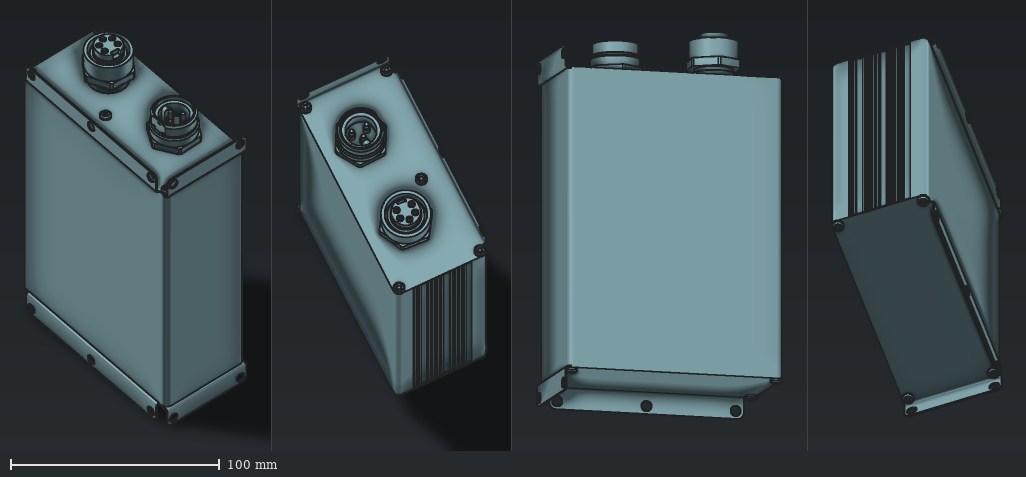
import cadquery as cq
import math

WIDTH = 107.5
DEPTH = 49.3
EXTRUSION_LENGTH = 145.2
CORNER_RADIUS = 3.2
SHEET = 0.8
EXTRUSION_END = EXTRUSION_LENGTH / 2
PLATE_FACE = EXTRUSION_END + SHEET

FIN_PITCH = 2.4
FINS_PER_GROUP = 5
GROUP_COUNT = 3
GROUP_PITCH = FINS_PER_GROUP * FIN_PITCH
GROOVE_DEPTH = 1.0
GROOVE_MOUTH = 1.8
GROOVE_FLOOR = 0.7
ROUND_GROOVE_OFFSET = -FIN_PITCH
ROUND_GROOVE_WIDTH = 3.0
ROUND_GROOVE_RADIUS = 0.95
GROOVED_HALF_WIDTH = 16.0

FLANGE_HEIGHT = 11.6
BEND_RADIUS = 1.0
FRONT_FLANGE_LENGTH = 97.0
FRONT_FLANGE_REACH = 1.8
SIDE_FLANGE_REACH = 1.25
FLANGE_CORNER_RADIUS = 3.0
FLANGE_HOLE_DIAMETER = 5.0
FLANGE_HOLE_EDGE = 3.9
FRONT_HOLE_PITCH = 44.5
SIDE_HOLE_PITCH = 41.7
FLANGE_TOP = EXTRUSION_END + FLANGE_HEIGHT

SCREW_X = 51.0
SCREW_Y = 21.6
EARTH_SCREW = (-6.0, -12.3)
SCREW_HEAD_DIAMETER = 5.6
SCREW_HEAD_HEIGHT = 1.9
SCREW_HEAD_RIM = 0.9
SCREW_HEAD_TOP_DIAMETER = 4.0
SCREW_SOCKET_FLATS = 2.0
SCREW_SOCKET_DEPTH = 1.0

CONNECTOR_X = 24.5
CONNECTOR_Y = 5.0
HEX_FLATS = 24.0
HEX_CORNER_DIAMETER = 27.0
OVERLAP = 0.5

FEMALE_TILT = -3.4
FEMALE_NECK_DIAMETER = 20.4
FEMALE_NECK_TOP = 4.0
FEMALE_UNDERCUT_DIAMETER = 19.0
FEMALE_HEX_BOTTOM = 5.9
FEMALE_HEX_TOP = 10.1
SLEEVE_DIAMETER = 24.0
SLEEVE_BORE_DIAMETER = 20.4
SLEEVE_TOP = 19.5
SLEEVE_BORE_BOTTOM = 13.0
CORE_DIAMETER = 14.3
CORE_COLLAR_DIAMETER = 15.17
CORE_COLLAR_TOP = 19.2
CORE_STEP_DIAMETER = 17.8
CORE_STEP_TOP = 17.6
CORE_TOP = 23.1
SOCKET_COUNT = 5
SOCKET_CIRCLE_RADIUS = 4.5
SOCKET_SPACING = 60.0
SOCKET_ENTRY_DIAMETER = 3.3
SOCKET_DIAMETER = 2.0
SOCKET_DEPTH = 8.0
KEYWAY_WIDTH = 4.4
KEYWAY_DEPTH = 3.0
KEYWAY_ROOT = 4.8

MALE_TILT = 2.0
NUT_TOP = 3.7
MALE_BODY_DIAMETER = 24.0
MALE_BODY_TOP = 8.8
MALE_BODY_CHAMFER = 0.8
MALE_UNDERCUT_DIAMETER = 20.4
MALE_UNDERCUT_TOP = 10.0
MALE_THREAD_DIAMETER = 22.5
MALE_RIM_DIAMETER = 20.4
MALE_TOP = 16.4
MALE_FLAT_DISTANCE = 9.9
MALE_BORE_DIAMETER = 15.17
MALE_BORE_BOTTOM = 5.0
MALE_MOUTH_DIAMETER = 19.0
MALE_MOUTH_DEPTH = 2.5
PIN_POSITIONS = [(-2.8, 0.0), (2.0, 4.0), (2.0, -4.0)]
PIN_DIAMETER = 3.4
PIN_SHOULDER_TOP = 9.0
PIN_TIP_DIAMETER = 2.0
PIN_TOP = 13.5
KEY_WIDTH = 3.6
KEY_REACH = 2.7
KEY_ROUNDING = 1.7
KEY_TOP = 13.5


def cylinder(diameter, bottom, top, x=0.0, y=0.0):
    """Upright cylinder between two heights."""
    return cq.Workplane("XY", origin=(x, y, bottom)).circle(diameter / 2).extrude(top - bottom)


def hexagon(bottom, top):
    """Hexagon with corners on the Y axis and turned-down corners."""
    corner_distance = HEX_FLATS / math.cos(math.pi / 6)
    blank = cq.Workplane("XY", origin=(0, 0, bottom)).polygon(6, corner_distance).extrude(top - bottom)
    blank = blank.rotate((0, 0, 0), (0, 0, 1), 90)
    return blank.intersect(cylinder(HEX_CORNER_DIAMETER, bottom, top))


def housing():
    """Extrusion and both end plates, flush all round."""
    height = 2 * PLATE_FACE
    return cq.Workplane("XY").box(WIDTH, DEPTH, height).edges("|Z").fillet(CORNER_RADIUS)


def tapered_groove(y):
    """Narrow groove with sloping walls on the -X side."""
    face = -WIDTH / 2
    profile = (
        cq.Workplane("XY", origin=(0, 0, -EXTRUSION_END))
        .moveTo(face, y - GROOVE_MOUTH / 2)
        .lineTo(face + GROOVE_DEPTH, y - GROOVE_FLOOR / 2)
        .lineTo(face + GROOVE_DEPTH, y + GROOVE_FLOOR / 2)
        .lineTo(face, y + GROOVE_MOUTH / 2)
        .close()
    )
    return profile.extrude(EXTRUSION_LENGTH)


def round_groove(y):
    """Wider groove with rounded floor corners on the -X side."""
    groove = cq.Workplane("XY").box(2 * GROOVE_DEPTH, ROUND_GROOVE_WIDTH, EXTRUSION_LENGTH)
    groove = groove.edges("|Z and >X").fillet(ROUND_GROOVE_RADIUS)
    return groove.translate((-WIDTH / 2, y, 0))


def side_grooves():
    """Material removed from the -X side: groups of tapered grooves, each with one rounded groove."""
    cuts = cq.Workplane("XY")
    for group in range(GROUP_COUNT):
        centre = (group - (GROUP_COUNT - 1) / 2) * GROUP_PITCH
        cuts = cuts.union(round_groove(centre + ROUND_GROOVE_OFFSET))
        for fin in range(FINS_PER_GROUP):
            offset = (fin - (FINS_PER_GROUP - 1) / 2) * FIN_PITCH
            is_inside = abs(centre + offset) < GROOVED_HALF_WIDTH
            if is_inside and not math.isclose(offset, ROUND_GROOVE_OFFSET):
                cuts = cuts.union(tapered_groove(centre + offset))
    return cuts


def flange(length, reach, hole_offsets):
    """Upper flange along X, bent up from the end plate; the housing face is at Y = 0, outward is +Y."""
    outer_radius = BEND_RADIUS + SHEET
    profile = (
        cq.Workplane("YZ")
        .moveTo(-outer_radius, EXTRUSION_END)
        .lineTo(reach - outer_radius, EXTRUSION_END)
        .radiusArc((reach, EXTRUSION_END + outer_radius), -outer_radius)
        .lineTo(reach, FLANGE_TOP)
        .lineTo(reach - SHEET, FLANGE_TOP)
        .lineTo(reach - SHEET, PLATE_FACE + BEND_RADIUS)
        .radiusArc((reach - outer_radius, PLATE_FACE), BEND_RADIUS)
        .lineTo(-outer_radius, PLATE_FACE)
        .close()
    )
    sheet = profile.extrude(length / 2, both=True)
    sheet = sheet.edges("|Y and >Z").fillet(FLANGE_CORNER_RADIUS)
    holes = (
        cq.Workplane("XZ")
        .pushPoints([(x, FLANGE_TOP - FLANGE_HOLE_EDGE) for x in hole_offsets])
        .circle(FLANGE_HOLE_DIAMETER / 2)
        .extrude(2 * (reach + outer_radius), both=True)
    )
    return sheet.cut(holes)


def flanges():
    """Front and side flanges at the top, repeated mirrored at the bottom."""
    front = flange(FRONT_FLANGE_LENGTH, FRONT_FLANGE_REACH, [-FRONT_HOLE_PITCH, 0, FRONT_HOLE_PITCH])
    front = front.rotate((0, 0, 0), (0, 0, 1), 180).translate((0, -DEPTH / 2, 0))
    side = flange(DEPTH, SIDE_FLANGE_REACH, [-SIDE_HOLE_PITCH / 2, SIDE_HOLE_PITCH / 2])
    side = side.rotate((0, 0, 0), (0, 0, 1), -90).translate((WIDTH / 2, 0, 0))
    upper = front.union(side)
    return upper.union(upper.mirror("XY"))


def screw_head():
    """Button head with a hexagon socket, seated at Z = 0."""
    head = (
        cq.Workplane("XZ")
        .moveTo(0, -OVERLAP)
        .lineTo(SCREW_HEAD_DIAMETER / 2, -OVERLAP)
        .lineTo(SCREW_HEAD_DIAMETER / 2, SCREW_HEAD_RIM)
        .radiusArc((SCREW_HEAD_TOP_DIAMETER / 2, SCREW_HEAD_HEIGHT), -SCREW_HEAD_DIAMETER / 2)
        .lineTo(0, SCREW_HEAD_HEIGHT)
        .close()
        .revolve(360, (0, 0, 0), (0, 1, 0))
    )
    socket_corners = SCREW_SOCKET_FLATS / math.cos(math.pi / 6)
    return head.faces(">Z").workplane().polygon(6, socket_corners).cutBlind(-SCREW_SOCKET_DEPTH)


def screws():
    """Corner screws on both end plates and the earth screw on the upper one."""
    head = screw_head().translate((0, 0, PLATE_FACE))
    heads = head.translate((*EARTH_SCREW, 0))
    for x in (-SCREW_X, SCREW_X):
        for y in (-SCREW_Y, SCREW_Y):
            corner = head.translate((x, y, 0))
            heads = heads.union(corner).union(corner.mirror("XY"))
    return heads


def female_connector():
    """Socket connector: neck, hexagon, open sleeve and a keyed core with contact holes."""
    body = cylinder(FEMALE_NECK_DIAMETER, -OVERLAP, FEMALE_NECK_TOP)
    body = body.union(cylinder(FEMALE_UNDERCUT_DIAMETER, 0, FEMALE_HEX_BOTTOM))
    body = body.union(hexagon(FEMALE_HEX_BOTTOM, FEMALE_HEX_TOP))
    sleeve = cylinder(SLEEVE_DIAMETER, FEMALE_HEX_TOP, SLEEVE_TOP)
    sleeve = sleeve.cut(cylinder(SLEEVE_BORE_DIAMETER, SLEEVE_BORE_BOTTOM, SLEEVE_TOP))
    core = cylinder(CORE_STEP_DIAMETER, FEMALE_HEX_TOP, CORE_STEP_TOP)
    core = core.union(cylinder(CORE_COLLAR_DIAMETER, FEMALE_HEX_TOP, CORE_COLLAR_TOP))
    core = core.union(cylinder(CORE_DIAMETER, FEMALE_HEX_TOP, CORE_TOP))
    contact_hole = cylinder(SOCKET_DIAMETER, CORE_TOP - SOCKET_DEPTH, CORE_TOP)
    entry_depth = (SOCKET_ENTRY_DIAMETER - SOCKET_DIAMETER) / 2
    countersink = (
        cq.Workplane("XY", origin=(0, 0, CORE_TOP - entry_depth))
        .circle(SOCKET_DIAMETER / 2)
        .workplane(offset=entry_depth)
        .circle(SOCKET_ENTRY_DIAMETER / 2)
        .loft()
    )
    contact_hole = contact_hole.union(countersink)
    for index in range(SOCKET_COUNT):
        angle = math.radians((index + 1) * SOCKET_SPACING)
        x = SOCKET_CIRCLE_RADIUS * math.cos(angle)
        y = SOCKET_CIRCLE_RADIUS * math.sin(angle)
        core = core.cut(contact_hole.translate((x, y, 0)))
    keyway = cq.Workplane("XY").box(
        CORE_DIAMETER, KEYWAY_WIDTH, KEYWAY_DEPTH, centered=(False, True, False)
    )
    core = core.cut(keyway.translate((KEYWAY_ROOT, 0, CORE_TOP - KEYWAY_DEPTH)))
    return body.union(sleeve).union(core).rotate((0, 0, 0), (0, 0, 1), FEMALE_TILT)


def male_connector():
    """Pin connector: nut, stepped shell with a flat, and a keyed bore holding the pins."""
    shell = cylinder(MALE_BODY_DIAMETER, NUT_TOP, MALE_BODY_TOP)
    shell = shell.faces(">Z").chamfer(MALE_BODY_CHAMFER)
    shell = shell.union(cylinder(MALE_UNDERCUT_DIAMETER, NUT_TOP, MALE_UNDERCUT_TOP))
    thread = cylinder(MALE_THREAD_DIAMETER, MALE_UNDERCUT_TOP, MALE_TOP)
    rim_chamfer = (MALE_THREAD_DIAMETER - MALE_RIM_DIAMETER) / 2
    shell = shell.union(thread.faces(">Z").chamfer(rim_chamfer))
    flat = cq.Workplane("XY").box(
        MALE_BODY_DIAMETER, MALE_BODY_DIAMETER, MALE_TOP - MALE_BODY_TOP, centered=(True, False, False)
    )
    flat = flat.translate((0, -MALE_FLAT_DISTANCE - MALE_BODY_DIAMETER, MALE_BODY_TOP))
    shell = shell.cut(flat)
    shell = shell.cut(cylinder(MALE_BORE_DIAMETER, MALE_BORE_BOTTOM, MALE_TOP))
    shell = shell.cut(cylinder(MALE_MOUTH_DIAMETER, MALE_TOP - MALE_MOUTH_DEPTH, MALE_TOP))
    for x, y in PIN_POSITIONS:
        shell = shell.union(cylinder(PIN_DIAMETER, MALE_BORE_BOTTOM - OVERLAP, PIN_SHOULDER_TOP, x, y))
        shell = shell.union(cylinder(PIN_TIP_DIAMETER, PIN_SHOULDER_TOP, PIN_TOP, x, y))
    key = cq.Workplane("XY").box(
        KEY_REACH + OVERLAP, KEY_WIDTH, KEY_TOP - MALE_BORE_BOTTOM, centered=(False, True, False)
    )
    key = key.edges("|X and >Z").fillet(KEY_ROUNDING)
    shell = shell.union(key.translate((-MALE_BORE_DIAMETER / 2 - OVERLAP, 0, MALE_BORE_BOTTOM)))
    nut = hexagon(-OVERLAP, NUT_TOP).rotate((0, 0, 0), (0, 0, 1), MALE_TILT)
    return shell.union(nut)


result = housing().cut(side_grooves())
result = result.union(flanges()).union(screws())
result = result.union(female_connector().translate((-CONNECTOR_X, CONNECTOR_Y, PLATE_FACE)))
result = result.union(male_connector().translate((CONNECTOR_X, CONNECTOR_Y, PLATE_FACE)))